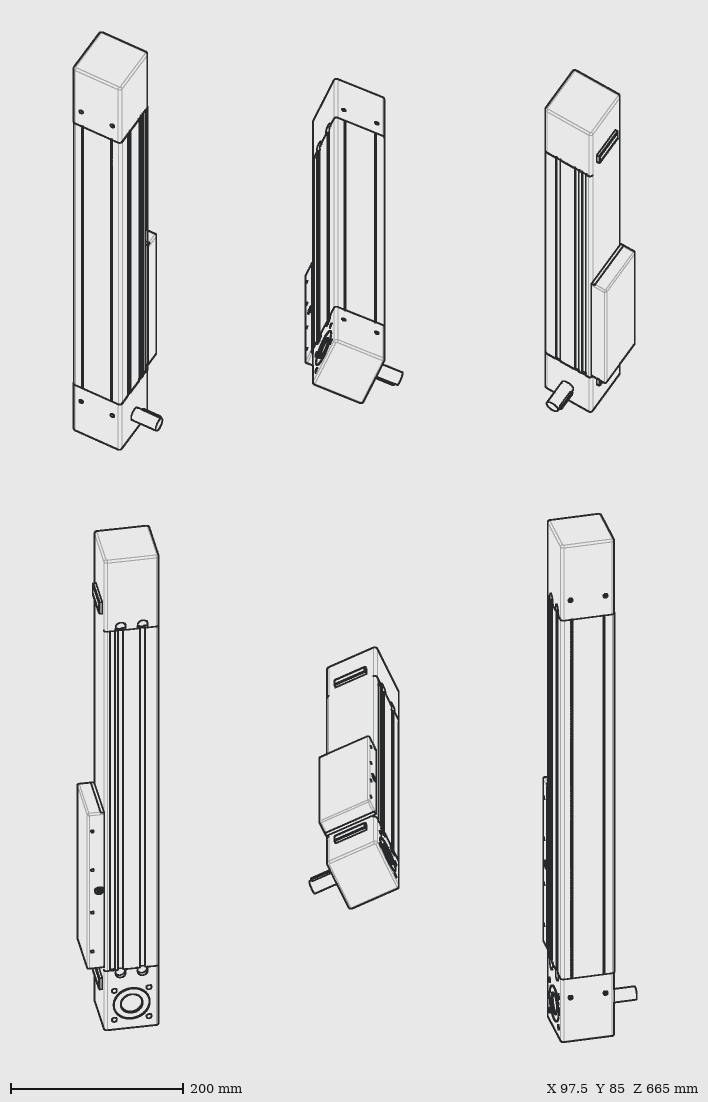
import cadquery as cq

total_length = 665.0
body_width = 65.0
body_depth = 65.0
lower_head_length = 85.0
upper_head_length = 100.0
head_width = 64.5
edge_radius = 3.5
end_radius = 2.5
mid_y = body_depth / 2
profile_inset = 0.15
profile_top = total_length - upper_head_length

slot_spacing = 26.0
slot_width = 6.0
slot_depth = 2.0
slot_centers_y = (mid_y - slot_spacing / 2, mid_y + slot_spacing / 2)
sensor_groove_center_y = 55.0
sensor_groove_width = 6.0
sensor_groove_depth = 3.0
front_groove_inset = 13.1
front_groove_width = 1.6
front_groove_depth = 1.5

access_width = 12.0
access_depth = 5.0
access_straight = 5.0

drive_z = 35.5
shaft_diameter = 16.0
shaft_end_x = 97.5
key_width = 5.0
key_length = 25.0
key_height = 2.0
key_end_gap = 3.0
bore_diameter = 25.0
bore_depth = 2.0
bore_step_diameter = 26.0
bore_step_depth = 0.5
ring_outer_diameter = 42.9
ring_inner_diameter = 42.0
ring_depth = 1.0
flange_hole_diameter = 6.0
flange_hole_pitch = 41.0
flange_hole_depth = 12.0

screw_z_levels = (59.5, 591.0)
screw_pitch = 42.0
screw_head_diameter = 4.92
screw_head_depth = 3.0
screw_hole_diameter = 3.24
screw_hole_depth = 10.0
clamp_width = 40.0
clamp_height = 16.0
clamp_thickness = 4.0
clamp_chamfer = 1.0

carriage_length = 220.0
carriage_center_z = 200.0
carriage_thickness = 20.0
carriage_radius = 2.0
carriage_corner_radius = 2.2
carriage_lip_height = 4.0
carriage_lip_setback = 0.5
carriage_hole_offsets = (-85.0, -30.0, 30.0, 85.0)
carriage_hole_diameter = 3.24
carriage_hole_depth = 8.0
carriage_hole_y = body_depth + 14.0
grease_hole_diameter = 10.0
grease_hole_depth = 2.0
grease_bore_diameter = 5.2
grease_bore_depth = 6.0
grease_hole_y = body_depth + 6.0


def block(x, y, z, dx, dy, dz):
    """Box with its low corner at (x, y, z)."""
    return cq.Workplane("XY").box(dx, dy, dz, centered=False).translate((x, y, z))


def rod_x(x, y, z, diameter, length):
    """Cylinder running along +X from (x, y, z)."""
    return cq.Workplane("YZ", origin=(x, y, z)).circle(diameter / 2).extrude(length)


def make_head(base_z, length, end_selector):
    """End block with rounded long edges and a rounded free end."""
    head = block(0, 0, base_z, head_width, body_depth, length)
    return head.edges("|Z").fillet(edge_radius).faces(end_selector).edges().fillet(end_radius)


def make_profile():
    """Extruded rail with grooves on both sides and on the -Y face."""
    length = profile_top - lower_head_length
    profile = block(
        profile_inset,
        profile_inset,
        lower_head_length,
        body_width - profile_inset,
        body_depth - profile_inset,
        length,
    )
    profile = profile.edges("|Z").fillet(edge_radius)
    side_grooves = [(y, slot_width, slot_depth) for y in slot_centers_y]
    side_grooves.append((sensor_groove_center_y, sensor_groove_width, sensor_groove_depth))
    for center_y, width, depth in side_grooves:
        for x in (0, body_width - depth):
            profile = profile.cut(block(x, center_y - width / 2, lower_head_length, depth, width, length))
    for center_x in (front_groove_inset, body_width - front_groove_inset):
        x = center_x - front_groove_width / 2
        profile = profile.cut(block(x, 0, lower_head_length, front_groove_width, front_groove_depth, length))
    return profile


def access_pocket(center_y, joint_z, direction):
    """Round-ended pocket in the -X face, running from the profile joint into a head."""
    arc_z = joint_z + direction * access_straight
    low_z = min(joint_z, arc_z)
    pocket = block(0, center_y - access_width / 2, low_z, access_depth, access_width, access_straight)
    return pocket.union(rod_x(0, center_y, arc_z, access_width, access_depth))


def make_drive_cuts():
    """Bore, thin ring groove and four holes in the -X face of the lower head."""
    cuts = rod_x(0, mid_y, drive_z, bore_diameter, bore_depth)
    cuts = cuts.union(rod_x(0, mid_y, drive_z, bore_step_diameter, bore_step_depth))
    ring = rod_x(0, mid_y, drive_z, ring_outer_diameter, ring_depth)
    cuts = cuts.union(ring.cut(rod_x(0, mid_y, drive_z, ring_inner_diameter, ring_depth)))
    half = flange_hole_pitch / 2
    for dy in (-half, half):
        for dz in (-half, half):
            hole = rod_x(0, mid_y + dy, drive_z + dz, flange_hole_diameter, flange_hole_depth)
            cuts = cuts.union(hole)
    return cuts


def make_shaft():
    """Output shaft with a round-ended key on its +Y side."""
    start_x = head_width - shaft_diameter / 2
    shaft = rod_x(start_x, mid_y, drive_z, shaft_diameter, shaft_end_x - start_x)
    key_center_x = shaft_end_x - key_end_gap - key_length / 2
    key = (
        cq.Workplane("XZ", origin=(key_center_x, mid_y, drive_z))
        .slot2D(key_length, key_width)
        .extrude(-(shaft_diameter / 2 + key_height))
    )
    return shaft.union(key)


def make_screw_holes():
    """Pairs of stepped blind holes in the -Y face of the heads."""
    holes = cq.Workplane("XY")
    for z in screw_z_levels:
        for side in (-1, 1):
            x = body_width / 2 + side * screw_pitch / 2
            plane = cq.Workplane("XZ", origin=(x, 0, z))
            holes = holes.add(plane.circle(screw_hole_diameter / 2).extrude(-screw_hole_depth))
            holes = holes.add(plane.circle(screw_head_diameter / 2).extrude(-screw_head_depth))
    return holes.combine()


def make_clamp(center_z):
    """Band clamp plate on the +Y face of a head."""
    x = (head_width - clamp_width) / 2
    z = center_z - clamp_height / 2
    plate = block(x, body_depth, z, clamp_width, clamp_thickness, clamp_height)
    return plate.faces(">Y").edges().chamfer(clamp_chamfer)


def make_carriage():
    """Sliding carriage with side holes and a grease port in its -X face."""
    z = carriage_center_z - carriage_length / 2
    carriage = block(0, body_depth, z, head_width, carriage_thickness, carriage_length)
    carriage = carriage.edges("|Y").fillet(carriage_corner_radius)
    carriage = carriage.faces(">Y").edges().fillet(carriage_radius)
    for offset in carriage_hole_offsets:
        hole_z = carriage_center_z + offset
        hole = rod_x(0, carriage_hole_y, hole_z, carriage_hole_diameter, carriage_hole_depth)
        carriage = carriage.cut(hole)
    grease_steps = ((grease_hole_diameter, grease_hole_depth), (grease_bore_diameter, grease_bore_depth))
    for diameter, depth in grease_steps:
        carriage = carriage.cut(rod_x(0, grease_hole_y, carriage_center_z, diameter, depth))
    for lip_z in (z, z + carriage_length - carriage_lip_setback):
        lip = block(0, body_depth, lip_z, head_width, carriage_lip_height, carriage_lip_setback)
        carriage = carriage.cut(lip)
    return carriage


result = make_profile()
result = result.union(make_head(0, lower_head_length, "<Z"))
result = result.union(make_head(profile_top, upper_head_length, ">Z"))
for slot_y in slot_centers_y:
    result = result.cut(access_pocket(slot_y, lower_head_length, -1))
    result = result.cut(access_pocket(slot_y, profile_top, 1))
result = result.cut(make_drive_cuts())
result = result.cut(make_screw_holes())
result = result.union(make_shaft())
for level in screw_z_levels:
    result = result.union(make_clamp(level))
result = result.union(make_carriage())